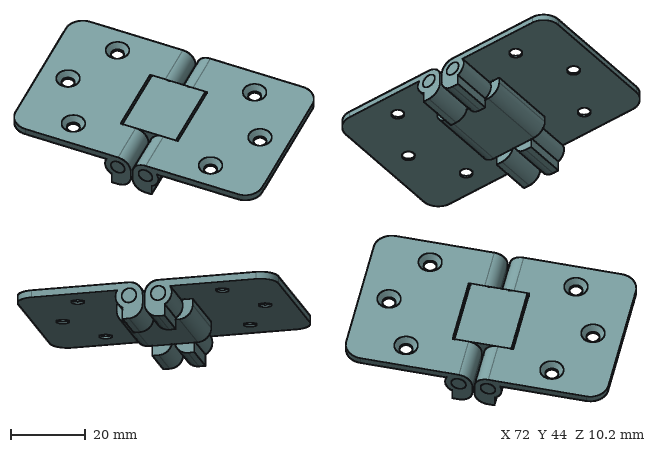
import cadquery as cq
import math

length = 72.0
width = 44.0
height = 10.2

leaf_thickness = 2.0
corner_radius = 5.0
slot_half_width = 8.35

pin_x = 4.0
pin_diameter = 4.0
knuckle_radius = 3.75
pin_z = -knuckle_radius
tab_width = 1.8

link_width = 20.0
link_half_length = 10.5

hole_diameter = 3.5
countersink_diameter = 6.3
countersink_angle = 90.0
outer_hole_x = 28.0
inner_hole_x = 20.0
inner_hole_y = 15.0


def box_between(x_min, x_max, y_size, z_min, z_max):
    """Box centred on Y, between the given X and Z limits."""
    box = cq.Workplane("XY").box(x_max - x_min, y_size, z_max - z_min, centered=(False, True, False))
    return box.translate((x_min, 0, z_min))


def rod(radius):
    """Full-width cylinder on the axis of the right-hand pin."""
    return cq.Workplane("XZ").center(pin_x, pin_z).circle(radius).extrude(width / 2, both=True)


def mirrored(body, side):
    """The right-hand body for side 1, or its mirror image for side -1."""
    return body if side > 0 else body.mirror("YZ")


def make_plate():
    """Flat leaf plate with two rounded corners and three countersunk holes."""
    plate = box_between(pin_x, length / 2, width, -leaf_thickness, 0)
    plate = plate.edges("|Z and >X").fillet(corner_radius)
    hole_places = [(outer_hole_x, 0), (inner_hole_x, inner_hole_y), (inner_hole_x, -inner_hole_y)]
    holes = plate.faces(">Z").workplane(origin=(0, 0, 0)).pushPoints(hole_places)
    return holes.cskHole(hole_diameter, countersink_diameter, countersink_angle)


def make_knuckle():
    """Barrel around the pin, with a stop tab below it rounded on the inner side."""
    tab_arc_z = -height + knuckle_radius
    arc_offset = knuckle_radius * math.sqrt(0.5)
    tab = (
        cq.Workplane("XZ")
        .moveTo(pin_x - knuckle_radius, pin_z)
        .lineTo(pin_x - knuckle_radius, tab_arc_z)
        .threePointArc((pin_x - arc_offset, tab_arc_z - arc_offset), (pin_x, -height))
        .lineTo(pin_x + tab_width, -height)
        .lineTo(pin_x + tab_width, pin_z)
        .close()
        .extrude(width / 2, both=True)
    )
    return rod(knuckle_radius).union(tab)


def make_leaf(side):
    """Plate and knuckle, cut out in the middle for the link and bored for the pin."""
    leaf = make_plate().union(make_knuckle())
    slot = box_between(0, slot_half_width, link_width, -height, 0)
    return mirrored(leaf.cut(slot).cut(rod(pin_diameter / 2)), side)


def make_pin(side):
    """Straight hinge pin, as long as the leaves are wide."""
    return mirrored(rod(pin_diameter / 2), side)


def make_link():
    """Block joining both pins, with a rounded shelf that reaches under each leaf."""
    top_half_length = pin_x + knuckle_radius
    link_bottom = -2 * knuckle_radius
    shelf = box_between(-link_half_length, link_half_length, link_width, link_bottom, -leaf_thickness)
    shelf = shelf.edges("|Y and <Z").fillet(knuckle_radius)
    top = box_between(-top_half_length, top_half_length, link_width, -leaf_thickness, 0)
    link = shelf.union(top)
    for side in (-1, 1):
        link = link.cut(make_pin(side))
    return link


leaves = [make_leaf(side) for side in (-1, 1)]
pins = [make_pin(side) for side in (-1, 1)]
link = make_link()

result = cq.Compound.makeCompound([body.val() for body in [*leaves, *pins, link]])